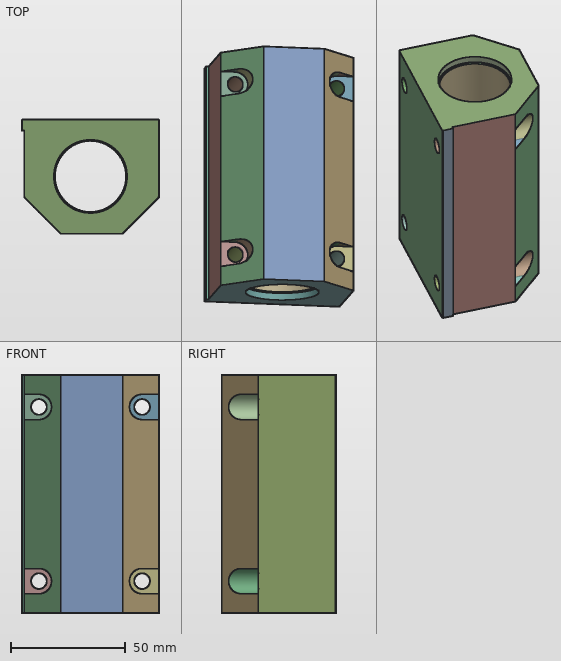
import cadquery as cq

length = 104.0
width = 60.0
depth = 50.0

bore_to_back = 25.0
lip_step = 1.0
lip_height = 5.0
bevel = 16.0
back_chamfer = 0.4

bore_diameter = 31.0
counterbore_diameter = 32.0
counterbore_depth = 3.0

hole_spacing_x = 45.0
hole_spacing_z = 76.0
hole_diameter = 6.8
pocket_width = 11.0

lip_left = -width / 2
body_left = lip_left + lip_step
right = width / 2
back = bore_to_back
front = back - depth
bevel_start = front + bevel


def make_block():
    """Extrude the bevelled section with its locating lip on the left."""
    outline = [
        (body_left + bevel, front),
        (right - bevel, front),
        (right, bevel_start),
        (right, back - back_chamfer),
        (right - back_chamfer, back),
        (lip_left + back_chamfer, back),
        (lip_left, back - back_chamfer),
        (lip_left, back - lip_height),
        (body_left, back - lip_height),
        (body_left, bevel_start),
    ]
    return cq.Workplane("XY").polyline(outline).close().extrude(length)


def make_bore():
    """Revolve the bore, its end counterbores and the cones between them about the Z axis."""
    bore_radius = bore_diameter / 2
    counterbore_radius = counterbore_diameter / 2
    cone_end = counterbore_depth + counterbore_radius - bore_radius
    profile = [
        (0, 0),
        (counterbore_radius, 0),
        (counterbore_radius, counterbore_depth),
        (bore_radius, cone_end),
        (bore_radius, length - cone_end),
        (counterbore_radius, length - counterbore_depth),
        (counterbore_radius, length),
        (0, length),
    ]
    return cq.Workplane("XZ").polyline(profile).close().revolve(360, (0, 0), (0, 1))


def make_mounting_hole(side, z):
    """Through hole and a pocket with a round inner end, open toward the given side (-1 or 1)."""
    x = side * hole_spacing_x / 2
    front_plane = cq.Workplane("XZ", origin=(x, bevel_start, z))
    round_end = front_plane.circle(pocket_width / 2).extrude(bevel)
    open_end = front_plane.center(side * pocket_width / 2, 0).rect(pocket_width, pocket_width).extrude(bevel)
    hole = cq.Workplane("XZ", origin=(x, back, z)).circle(hole_diameter / 2).extrude(depth)
    return round_end.union(open_end).union(hole)


result = make_block().cut(make_bore())
for side in (-1, 1):
    for end in (-1, 1):
        hole_z = (length + end * hole_spacing_z) / 2
        result = result.cut(make_mounting_hole(side, hole_z))